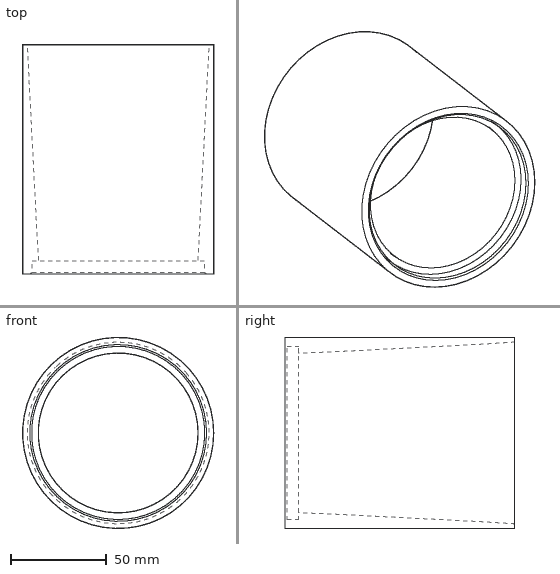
import cadquery as cq

length = 120.0
outer_diameter = 100.0
bore_mouth_diameter = 83.4
bore_far_diameter = 95.0
recess_diameter = 90.5
recess_depth = 7.0
mouth_chamfer = 1.0

mouth_y = -length / 2
shoulder_y = mouth_y + recess_depth
far_y = length / 2

wall_section = [
    (outer_diameter / 2, mouth_y),
    (outer_diameter / 2, far_y),
    (bore_far_diameter / 2, far_y),
    (bore_mouth_diameter / 2, shoulder_y),
    (recess_diameter / 2, shoulder_y),
    (recess_diameter / 2, mouth_y + mouth_chamfer),
    (recess_diameter / 2 + mouth_chamfer, mouth_y),
]

result = cq.Workplane("XY").polyline(wall_section).close().revolve(360, (0, 0, 0), (0, 1, 0))